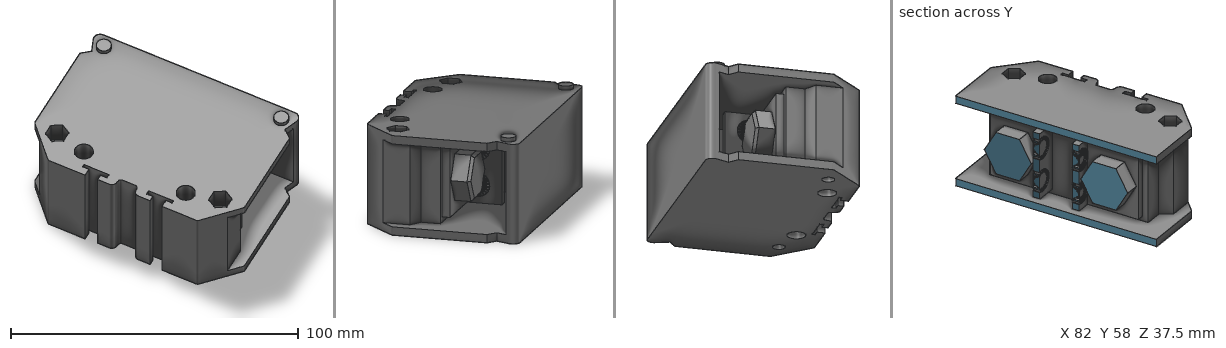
import cadquery as cq
import math

WIDTH = 82.0
DEPTH = 58.0
HEIGHT = 36.0
CORNER_X = 29.2
CORNER_Y = 12.6
CORNER_RADIUS = 1.2
SHOULDER_Y = 47.1
NECK_X = 37.8
NECK_Y = 49.7
EAR_RADIUS = 2.5

RAIL_X = 0.25
GROOVE_DEPTH = 4.0
GROOVE_INNER_X = 7.8
GROOVE_OUTER_X = 17.5
MOUTH_INNER_X = 10.25
MOUTH_OUTER_X = 15.0
INNER_LIP_TOP = 2.5
OUTER_LIP_TOP = 2.95
FOOT_RECESS = 0.3
NOTCH_MOUTH_X = 4.2
NOTCH_TOP_X = 3.4
NOTCH_MOUTH_RADIUS = 1.8
NOTCH_TOP_RADIUS = 1.0

WALL = 3.0
BACK_WALL = 4.6
POST_X = 36.7
POST_STEP_X = 32.4
POST_STEP_BOTTOM = 17.9
POST_STEP_TOP = 20.6
POST_TOP = 27.55

PEG_X = 34.7
PEG_Y = 53.0
PEG_RADIUS = 2.6
PEG_HEIGHT = 1.5
BORE_X = 19.9
BORE_Y = 9.1
BORE_RADIUS = 3.3
SCREW_X = 31.9
SCREW_Y = 12.05
SCREW_RADIUS = 2.2
SCREW_HEX_FLATS = 7.05
SCREW_HEX_DEPTH = 8.2

BAR_OUTER_X = 30.1
BAR_INNER_X = 6.6
BAR_THICKNESS = 2.9
BAR_WIDTH = 26.15
UPRIGHT_HEIGHT = 12.6
PORT_RADIUS = 4.3
PORT_SPACING = 13.0
PORT_RISE = 3.85
CORE_BASE_RADIUS = 3.2
CORE_TIP_RADIUS = 1.6
RIB_COUNT = 22
RIB_THICKNESS = 0.4
RIB_OVERLAP = 0.25

HEAD_FLATS = 16.7
HEAD_HEIGHT = 7.0
HEAD_CHAMFER = 1.1
HEAD_X = 19.7

MARGIN = 0.8
MID_Z = HEIGHT / 2
BAR_TOP = POST_TOP + BAR_THICKNESS
SIDES = (-1, 1)


def hexagon_diameter(flats):
    """Diameter across the corners of a hexagon, from its width across flats."""
    return flats / math.cos(math.pi / 6)


def housing_block():
    side = WIDTH / 2
    outline = [
        (-CORNER_X, 0), (CORNER_X, 0), (side, CORNER_Y), (side, SHOULDER_Y),
        (NECK_X, NECK_Y), (side, DEPTH), (-side, DEPTH), (-NECK_X, NECK_Y),
        (-side, SHOULDER_Y), (-side, CORNER_Y),
    ]
    block = cq.Workplane("XY").polyline(outline).close().extrude(HEIGHT)
    block = block.edges("|Z").edges(">Y").fillet(EAR_RADIUS)
    bevel_edges = cq.selectors.BoxSelector(
        (-side - MARGIN, -MARGIN, 0), (side + MARGIN, CORNER_Y + MARGIN, HEIGHT)
    )
    return block.edges("|Z").edges(bevel_edges).fillet(CORNER_RADIUS)


def rail_groove(side):
    outline = [
        (MOUTH_INNER_X, 0), (MOUTH_OUTER_X, 0),
        (MOUTH_OUTER_X, OUTER_LIP_TOP), (GROOVE_OUTER_X, OUTER_LIP_TOP),
        (GROOVE_OUTER_X, GROOVE_DEPTH), (GROOVE_INNER_X, GROOVE_DEPTH),
        (GROOVE_INNER_X, INNER_LIP_TOP), (MOUTH_INNER_X, INNER_LIP_TOP),
    ]
    mirrored = [(side * x, y) for x, y in outline]
    return cq.Workplane("XY").polyline(mirrored).close().extrude(HEIGHT)


def middle_notch():
    """Tapered notch between the feet, with the strip that sets the feet back."""
    outline = [
        (-MOUTH_INNER_X, 0), (MOUTH_INNER_X, 0), (MOUTH_INNER_X, FOOT_RECESS),
        (NOTCH_MOUTH_X, FOOT_RECESS), (NOTCH_TOP_X, GROOVE_DEPTH),
        (-NOTCH_TOP_X, GROOVE_DEPTH), (-NOTCH_MOUTH_X, FOOT_RECESS),
        (-MOUTH_INNER_X, FOOT_RECESS),
    ]
    notch = cq.Workplane("XY").polyline(outline).close().extrude(HEIGHT)
    notch = notch.edges("|Z").edges(">Y").fillet(NOTCH_TOP_RADIUS)
    for side in SIDES:
        mouth = cq.selectors.NearestToPointSelector((side * NOTCH_MOUTH_X, FOOT_RECESS, MID_Z))
        notch = notch.edges("|Z").edges(mouth).fillet(NOTCH_MOUTH_RADIUS)
    return notch


def chamber():
    end = WIDTH / 2 + MARGIN
    ceiling = DEPTH - BACK_WALL
    right_half = [
        (POST_STEP_X, POST_TOP), (POST_STEP_X, POST_STEP_TOP), (POST_X, POST_STEP_BOTTOM),
        (POST_X, 0), (end, 0), (end, ceiling),
    ]
    left_half = [(-x, y) for x, y in reversed(right_half)]
    room = cq.Workplane("XY").workplane(offset=WALL).polyline(right_half + left_half).close()
    return room.extrude(HEIGHT - 2 * WALL)


def screw_holes():
    places = [(side * SCREW_X, SCREW_Y) for side in SIDES]
    shafts = cq.Workplane("XY").pushPoints(places).circle(SCREW_RADIUS).extrude(HEIGHT)
    recess_floor = HEIGHT - SCREW_HEX_DEPTH
    for x, y in places:
        plane = cq.Plane(origin=(x, y, recess_floor), xDir=(0, 1, 0), normal=(0, 0, 1))
        recess = cq.Workplane(plane).polygon(6, hexagon_diameter(SCREW_HEX_FLATS))
        shafts = shafts.union(recess.extrude(SCREW_HEX_DEPTH))
    return shafts


def round_pair(x, y, radius, bottom, height):
    places = [(side * x, y) for side in SIDES]
    plane = cq.Workplane("XY").workplane(offset=bottom)
    return plane.pushPoints(places).circle(radius).extrude(height)


def make_housing():
    body = housing_block().cut(chamber()).cut(screw_holes())
    body = body.cut(middle_notch().translate((RAIL_X, 0, 0)))
    for side in SIDES:
        body = body.cut(rail_groove(side).translate((RAIL_X, 0, 0)))
    body = body.cut(round_pair(BORE_X, BORE_Y, BORE_RADIUS, 0, HEIGHT))
    return body.union(round_pair(PEG_X, PEG_Y, PEG_RADIUS, HEIGHT, PEG_HEIGHT))


def port_core(x_inner, z):
    """Ribbed cone that fills a port, narrowing toward the outer face of the upright."""
    y = BAR_TOP + PORT_RISE
    outward = cq.Vector(-1, 0, 0)
    cone = cq.Solid.makeCone(
        CORE_BASE_RADIUS, CORE_TIP_RADIUS, BAR_THICKNESS, cq.Vector(x_inner, y, z), outward
    )
    core = cq.Workplane(cone)
    rib_length = PORT_RADIUS + RIB_OVERLAP
    for index in range(RIB_COUNT):
        rib = (
            cq.Workplane("XY")
            .box(BAR_THICKNESS, RIB_THICKNESS, rib_length, centered=(False, True, False))
            .rotate((0, 0, 0), (1, 0, 0), 360 * index / RIB_COUNT)
            .translate((x_inner - BAR_THICKNESS, y, z))
        )
        core = core.union(rib)
    return core


def make_terminal():
    """Left-hand angle bar; the right-hand one is its mirror image."""
    length = BAR_OUTER_X - BAR_INNER_X
    leg = cq.Workplane("XY").box(length, BAR_THICKNESS, BAR_WIDTH, centered=(False, False, True))
    leg = leg.translate((-BAR_OUTER_X, POST_TOP, MID_Z))
    upright = cq.Workplane("XY").box(
        BAR_THICKNESS, UPRIGHT_HEIGHT, BAR_WIDTH, centered=(False, False, True)
    )
    upright = upright.translate((-BAR_INNER_X - BAR_THICKNESS, BAR_TOP, MID_Z))
    bar = leg.union(upright)
    for side in SIDES:
        z = MID_Z + side * PORT_SPACING / 2
        port = cq.Solid.makeCylinder(
            PORT_RADIUS, BAR_THICKNESS,
            cq.Vector(-BAR_INNER_X, BAR_TOP + PORT_RISE, z), cq.Vector(-1, 0, 0),
        )
        bar = bar.cut(cq.Workplane(port)).union(port_core(-BAR_INNER_X, z))
    return bar


def make_hex_head(side):
    plane = cq.Plane(origin=(side * HEAD_X, BAR_TOP, MID_Z), xDir=(1, 0, 0), normal=(0, 1, 0))
    head = cq.Workplane(plane).polygon(6, hexagon_diameter(HEAD_FLATS)).extrude(HEAD_HEIGHT)
    return head.faces(">Y").chamfer(HEAD_CHAMFER)


housing = make_housing()
left_terminal = make_terminal()
terminals = [left_terminal, left_terminal.mirror("YZ")]
hex_heads = [make_hex_head(side) for side in SIDES]

result = cq.Compound.makeCompound(
    [body.solids().val() for body in [housing, *terminals, *hex_heads]]
)